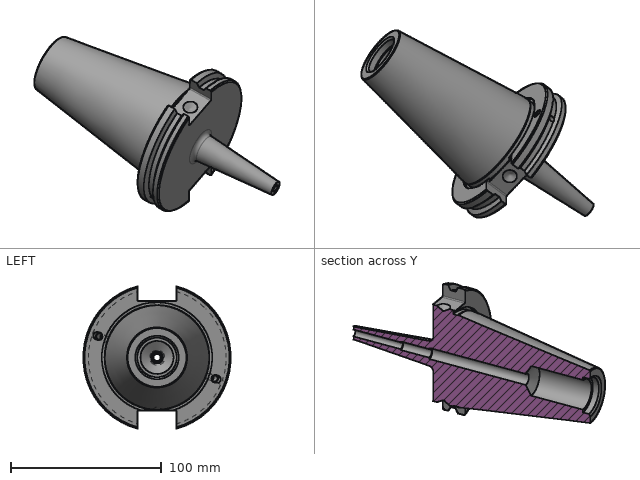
import cadquery as cq
import math


taper_length = 101.7
taper_end_radius = 34.9
shank_end_radius = taper_end_radius - taper_length * 7 / 48
shank_chamfer = 0.5
taper_relief_length = 0.7

neck_radius = 69.2 / 2
relief_radius = 36.7
relief_depth = 1.8

flange_radius = 49.0
flange_start = 1.6
flange_end = 19.0
flange_chamfer = 0.9
groove_center = 11.0
groove_floor_radius = 45.8
groove_floor_width = 3.6
groove_half_angle = 30

nose_root_radius = 19.0 / 2
nose_tip_radius = 10.0 / 2
nose_fillet = 3.3
nose_tip = 181.6 - taper_length

mouth_radius = 28.9 / 2
counterbore_radius = 26.2 / 2
main_bore_radius = 22.0 / 2
middle_bore_radius = 8.0 / 2
screw_bore_radius = 6.0 / 2
through_radius = 4.7 / 2
mouth_depth = 1.3
counterbore_depth = 5.8
main_bore_depth = 45.4
middle_bore_end = 21.8
screw_bore_end = 43.5
drill_half_angle = 59

slot_width = 25.8
upper_slot_floor = 37.6
lower_slot_floor = 35.2
slot_corner_radius = 0.7
dimple_diameter = 9.5

coolant_clock_angle = 20
coolant_radius = 42.0
coolant_mouth_diameter = 5.0
coolant_mouth_depth = 2.2
coolant_inner_diameter = 4.2
coolant_tilt = 30
cross_hole_diameter = 4.2


def revolve_about_x(profile):
    return profile.close().revolve(360, (0, 0, 0), (1, 0, 0))


def drill_tip(radius):
    return radius / math.tan(math.radians(drill_half_angle))


def holder_body():
    groove_depth = flange_radius - groove_floor_radius
    floor_half = groove_floor_width / 2
    top_half = floor_half + groove_depth * math.tan(math.radians(groove_half_angle))
    relief_floor = flange_start + relief_depth
    fillet_end = flange_end + nose_fillet
    fillet_mid_x = fillet_end - nose_fillet * math.sin(math.radians(45))
    fillet_mid_r = nose_root_radius + nose_fillet * (1 - math.cos(math.radians(45)))
    profile = (
        cq.Workplane("XY")
        .moveTo(-taper_length, 0)
        .lineTo(-taper_length, shank_end_radius - shank_chamfer)
        .lineTo(-taper_length + shank_chamfer, shank_end_radius)
        .lineTo(-taper_relief_length, taper_end_radius)
        .lineTo(0, neck_radius)
        .lineTo(relief_floor, neck_radius)
        .lineTo(relief_floor, relief_radius)
        .lineTo(flange_start, relief_radius)
        .lineTo(flange_start, flange_radius - flange_chamfer)
        .lineTo(flange_start + flange_chamfer, flange_radius)
        .lineTo(groove_center - top_half, flange_radius)
        .lineTo(groove_center - floor_half, groove_floor_radius)
        .lineTo(groove_center + floor_half, groove_floor_radius)
        .lineTo(groove_center + top_half, flange_radius)
        .lineTo(flange_end - flange_chamfer, flange_radius)
        .lineTo(flange_end, flange_radius - flange_chamfer)
        .lineTo(flange_end, nose_root_radius + nose_fillet)
        .threePointArc((fillet_mid_x, fillet_mid_r), (fillet_end, nose_root_radius))
        .lineTo(nose_tip, nose_tip_radius)
        .lineTo(nose_tip, 0)
    )
    return revolve_about_x(profile)


def stepped_bore():
    main_end = -taper_length + main_bore_depth
    cone_end = main_end + drill_tip(main_bore_radius - middle_bore_radius)
    step_x = -taper_length + counterbore_depth
    profile = (
        cq.Workplane("XY")
        .moveTo(-taper_length, 0)
        .lineTo(-taper_length, mouth_radius)
        .lineTo(-taper_length + mouth_depth, counterbore_radius)
        .lineTo(step_x, counterbore_radius)
        .lineTo(step_x, main_bore_radius)
        .lineTo(main_end, main_bore_radius)
        .lineTo(cone_end, middle_bore_radius)
        .lineTo(middle_bore_end, middle_bore_radius)
        .lineTo(middle_bore_end, screw_bore_radius)
        .lineTo(screw_bore_end, screw_bore_radius)
        .lineTo(screw_bore_end, through_radius)
        .lineTo(nose_tip, through_radius)
        .lineTo(nose_tip, 0)
    )
    return revolve_about_x(profile)


def drive_slot(floor_height):
    """Slot across the top of the flange, with a conical dimple in its floor."""
    length = flange_end - flange_start
    slot = (
        cq.Workplane("XY")
        .box(length, slot_width, flange_radius, centered=(False, True, False))
        .edges("|X and <Z")
        .fillet(slot_corner_radius)
        .translate((flange_start, 0, floor_height))
    )
    dimple_radius = dimple_diameter / 2
    dimple = (
        cq.Workplane("XZ")
        .moveTo(0, 0)
        .lineTo(dimple_radius, 0)
        .lineTo(0, -drill_tip(dimple_radius))
        .close()
        .revolve(360, (0, 0, 0), (0, 1, 0))
        .translate((groove_center, 0, floor_height))
    )
    return slot.union(dimple)


def coolant_holes():
    """Tilted stepped hole from the flange face, met by a radial hole from the groove; on the +Y side."""
    tilt = math.radians(coolant_tilt)
    run = groove_center - flange_start
    meeting_radius = coolant_radius - run * math.tan(tilt)
    direction = cq.Vector(math.cos(tilt), -math.sin(tilt), 0)
    overshoot = coolant_mouth_diameter
    start = cq.Vector(flange_start, coolant_radius, 0) - direction * overshoot
    mouth = cq.Solid.makeCylinder(
        coolant_mouth_diameter / 2, overshoot + coolant_mouth_depth, start, direction
    )
    inner = cq.Solid.makeCylinder(
        coolant_inner_diameter / 2, overshoot + run / math.cos(tilt), start, direction
    )
    radial = cq.Solid.makeCylinder(
        cross_hole_diameter / 2,
        flange_radius - meeting_radius,
        cq.Vector(groove_center, meeting_radius, 0),
        cq.Vector(0, 1, 0),
    )
    holes = cq.Workplane(obj=mouth).union(cq.Workplane(obj=inner)).union(cq.Workplane(obj=radial))
    return holes.rotate((0, 0, 0), (1, 0, 0), coolant_clock_angle)


def half_turn(shape):
    return shape.rotate((0, 0, 0), (1, 0, 0), 180)


result = holder_body().cut(stepped_bore())
result = result.cut(drive_slot(upper_slot_floor))
result = result.cut(half_turn(drive_slot(lower_slot_floor)))
result = result.cut(coolant_holes())
result = result.cut(half_turn(coolant_holes()))